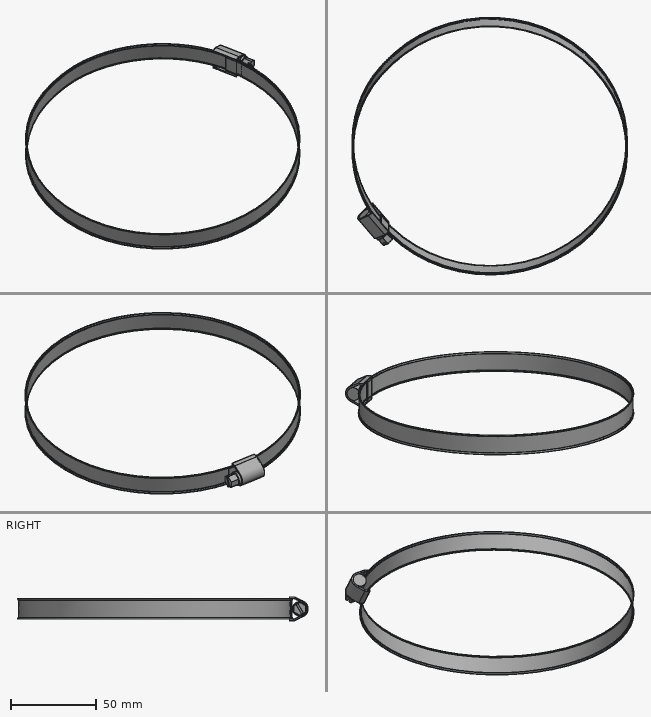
import cadquery as cq
import math


band_outer_radius = 80.325
band_width = 12.0
band_thickness = 0.5
lip_flare = 0.5
lip_height = 1.0
band_inner_radius = band_outer_radius - lip_flare - band_thickness
tail_lift = 0.6
tail_inner_radius = band_inner_radius + tail_lift
lift_start_angle = 276.0
lift_end_angle = 296.0
path_spans = 60
band_start_x = -2.5
tail_end_x = 7.7

housing_left_x = -11.0
housing_right_x = 4.7
housing_wall = 1.0
housing_half_width = band_width / 2 + housing_wall
housing_top_y = 89.745
arch_radius = 4.9
screw_axis_y = housing_top_y - arch_radius
shoulder_y = 81.8
housing_bottom_y = 78.8

screw_radius = arch_radius - housing_wall
flange_radius = 4.2
flange_end_x = 6.4
head_end_x = 11.5
head_across_flats = 6.6
head_sides = 6
slot_width = 1.2
slot_depth = 1.5
slot_tilt = 180.0 / head_sides


def band_point(angle, offset, z):
    """Point at a radial offset from the band's inner face; angle clockwise from +Y, in degrees."""
    lift = min(max((angle - lift_start_angle) / (lift_end_angle - lift_start_angle), 0), 1)
    smooth_lift = lift * lift * (3 - 2 * lift)
    radius = band_inner_radius + tail_lift * smooth_lift + offset
    turn = math.radians(angle)
    return cq.Vector(radius * math.sin(turn), radius * math.cos(turn), z)


def make_band():
    """One strip with flared edges, running clockwise from the housing round to its lifted tail."""
    start_angle = math.degrees(math.asin(band_start_x / band_inner_radius))
    tail_angle = 360 + math.degrees(math.asin(tail_end_x / tail_inner_radius))
    step = (tail_angle - start_angle) / path_spans
    path_angles = [start_angle + step * i for i in range(path_spans + 1)]

    edge_z = band_width / 2
    flat_z = edge_z - lip_height
    inner_side = [(lip_flare, -edge_z), (0, -flat_z), (0, flat_z), (lip_flare, edge_z)]
    outer_side = [(offset + band_thickness, z) for offset, z in reversed(inner_side)]
    section = inner_side + outer_side

    corner_curves = [
        cq.Edge.makeSpline([band_point(angle, *corner) for angle in path_angles])
        for corner in section
    ]
    next_curves = corner_curves[1:] + corner_curves[:1]
    faces = [cq.Face.makeRuledSurface(near, far) for near, far in zip(corner_curves, next_curves)]
    for end_angle in (start_angle, tail_angle):
        end_corners = [band_point(end_angle, *corner) for corner in section]
        faces.append(cq.Face.makeFromWires(cq.Wire.makePolygon(end_corners, close=True)))
    return cq.Workplane(cq.Solid.makeSolid(cq.Shell.makeShell(faces)))


def saddle_slope(radius, half_width, knee_y):
    """Angle, away from Y, of the straight side that joins a knee tangentially to the arch."""
    drop = screw_axis_y - knee_y
    reach = math.hypot(half_width, drop)
    return math.acos(radius / reach) - math.atan2(drop, half_width)


def saddle_profile(radius, half_width, knee_y):
    """Arch over the screw whose sides run tangent to the knees, then straight down to the bottom."""
    slope = saddle_slope(radius, half_width, knee_y)
    tangent_z = radius * math.cos(slope)
    tangent_y = screw_axis_y + radius * math.sin(slope)
    return (
        cq.Workplane("YZ", origin=(housing_left_x, 0, 0))
        .moveTo(housing_bottom_y, -half_width)
        .lineTo(knee_y, -half_width)
        .lineTo(tangent_y, -tangent_z)
        .threePointArc((screw_axis_y + radius, 0), (tangent_y, tangent_z))
        .lineTo(knee_y, half_width)
        .lineTo(housing_bottom_y, half_width)
        .close()
    )


def make_housing():
    """Saddle-shaped shell, open at both ends, closed below by a base under the band start."""
    length = housing_right_x - housing_left_x
    inner_half_width = housing_half_width - housing_wall
    slope = saddle_slope(arch_radius, housing_half_width, shoulder_y)
    inner_knee_y = shoulder_y - housing_wall * math.tan(slope / 2)
    shell = saddle_profile(arch_radius, housing_half_width, shoulder_y).extrude(length)
    cavity = saddle_profile(screw_radius, inner_half_width, inner_knee_y).extrude(length)

    base = cq.Workplane("XY").box(
        housing_right_x - band_start_x,
        band_inner_radius - housing_bottom_y,
        2 * housing_half_width,
        centered=(False, False, True),
    ).translate((band_start_x, housing_bottom_y, 0))
    inside_band = cq.Workplane("XY").circle(band_inner_radius).extrude(housing_half_width, both=True)
    return shell.cut(cavity).union(base.intersect(inside_band))


def make_screw():
    """Plain shank inside the arch, a flange against the housing and a slotted hex head."""
    def section(x):
        return cq.Workplane("YZ", origin=(x, screw_axis_y, 0))

    shank = section(housing_left_x).circle(screw_radius).extrude(housing_right_x - housing_left_x)
    flange = section(housing_right_x).circle(flange_radius).extrude(flange_end_x - housing_right_x)
    across_corners = head_across_flats / math.cos(math.pi / head_sides)
    head = (
        section(flange_end_x)
        .transformed(rotate=(0, 0, 90))
        .polygon(head_sides, across_corners)
        .extrude(head_end_x - flange_end_x)
    )
    slot = (
        section(head_end_x - slot_depth)
        .transformed(rotate=(0, 0, slot_tilt))
        .rect(slot_width, 2 * across_corners)
        .extrude(slot_depth)
    )
    return shank.union(flange).union(head.cut(slot))


band = make_band()
housing = make_housing()
screw = make_screw()

result = cq.Compound.makeCompound([band.val(), housing.solids().val(), screw.solids().val()])